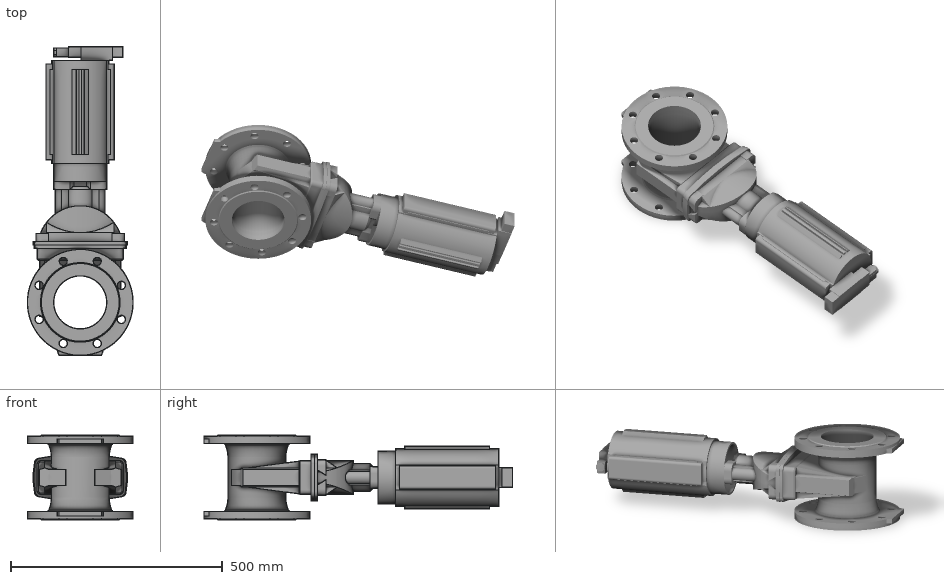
import cadquery as cq
import math


flange_dia = 250.0
flange_rad = flange_dia / 2
overall_length = 729.0
face_to_face = 200.0
face_height = 2.0
face_base_dia = 188.0
face_top_dia = 184.0
flange_thick = 17.5
flange_top = face_to_face / 2 - face_height
flange_bottom = flange_top - flange_thick
bore_dia = 125.0
pipe_dia = 137.0
pipe_rad = pipe_dia / 2
flare_start = 47.5
flare_end = 76.5
flare_rad = 74.5
flare_foot_rad = 77.0
bolt_circle_dia = 210.0
bolt_hole_dia = 19.0
bolt_count = 8

pad_root_half = 55.0
pad_tip_half = 50.0
pad_root_y = -113.0
pad_height = 11.0

joint_y = 127.5
housing_start = 99.0
housing_half_x = 102.0
housing_half_z = 40.0
housing_corner = 10.0
housing_bevel = 3.0
arm_half_x = 96.0
arm_half_z = 19.0
arm_end_y = -33.0
arm_nose = (74.0, -39.5)
arm_tip = (35.0, -60.0)
wedge_half_x = 84.0
ridge_half_z = 22.5
wedge_tip_half_z = 20.5
wedge_front_half_z = 39.0

gate_plate_thick = 8.0
gate_plate_growth = 2.0
bonnet_base_y = joint_y + 2 * gate_plate_thick

bonnet_rad = 101.0
bonnet_crown = 40.0
bonnet_edge_x = 80.0
bonnet_edge_z = 22.5
bonnet_slope_start = 165.0
bonnet_slope_end = 189.5
lug_top = 163.0
lug_outer_x = 105.0
lug_inner_x = 75.0
lug_outer_z = 42.0
lug_foot_z = 17.5
lug_tip_z = 5.0
lug_corner = 14.5

yoke_core_rad = 33.5
column_x = 44.5
column_rad = 14.5
yoke_end = 267.0
yoke_chamfer = 7.0
web_half_z = 18.0
head_half_z = 25.5
head_corner = 16.0
groove_top_half = 24.0
groove_floor_half = 15.0
groove_floor_z = 18.0
stem_rad = 14.5

sleeve_rad = 63.0
sleeve_wall = 5.0
sleeve_start = 286.0
motor_start = 328.0
motor_end = 572.0
motor_dia = 137.0
motor_rad = motor_dia / 2
rail_start = 349.0
rail_end = 550.0
rail_base_half = 20.5
rail_top_half = 10.0
rail_base_z = 65.0
rail_top_z = 74.5
rail_groove = 6.0
rail_groove_offset = 6.0
box_start = 337.0
box_end = 564.0
box_face_x = 81.0
box_half_z = 28.0
box_edge = 6.5
base_half_z = 29.0
base_face_x = 71.5
base_end_x = 66.0

end_y = overall_length - flange_rad
socket_left = 1.5
socket_right = 76.5
bar_left = -28.0
bar_right = 101.0
bar_start = 579.0
socket_half_z = 24.0
bar_half_z = 22.5
gland_box_left = -56.0
gland_left = -63.0
gland_box_size = 20.5
gland_box_top = 7.0
gland_box_bottom = -21.0
gland_dia = 21.0
gland_y = 591.0
gland_z = -4.5
gland_sides = 8


def block(x0, x1, y0, y1, z0, z1):
    """Axis-aligned box between two opposite corners."""
    return cq.Workplane("XY").box(x1 - x0, y1 - y0, z1 - z0, centered=False).translate((x0, y0, z0))


def along_y(y):
    """Sketch plane at height y: local x is X, local y is Z, and negative extrusions run toward +Y."""
    return cq.Workplane(cq.Plane(origin=(0, y, 0), xDir=(1, 0, 0), normal=(0, -1, 0)))


def rod(x, z, rad, y0, y1):
    """Round bar parallel to Y."""
    return along_y(y0).center(x, z).circle(rad).extrude(y0 - y1)


def mirrored(shape, plane):
    return shape.union(shape.mirror(plane))


def pipe_half():
    """Upper half of the flanged pipe: barrel, flare, flange and raised face."""
    mid_z = (flare_start + flare_end) / 2
    mid_rad = pipe_rad + (flare_rad - pipe_rad) / 4
    profile = (
        cq.Workplane("XZ")
        .lineTo(pipe_rad, 0)
        .lineTo(pipe_rad, flare_start)
        .threePointArc((mid_rad, mid_z), (flare_rad, flare_end))
        .lineTo(flare_foot_rad, flange_bottom)
        .lineTo(flange_rad, flange_bottom)
        .lineTo(flange_rad, flange_top)
        .lineTo(face_base_dia / 2, flange_top)
        .lineTo(face_top_dia / 2, face_to_face / 2)
        .lineTo(0, face_to_face / 2)
        .close()
    )
    return profile.revolve(360, (0, 0), (0, 1))


def foot_pad():
    outline = [
        (-pad_root_half, pad_root_y),
        (-pad_tip_half, -flange_rad),
        (pad_tip_half, -flange_rad),
        (pad_root_half, pad_root_y),
    ]
    return cq.Workplane("XY").workplane(offset=flange_bottom).polyline(outline).close().extrude(pad_height)


def bolt_holes():
    return (
        cq.Workplane("XY")
        .polarArray(bolt_circle_dia / 2, 180 / bolt_count, 360, bolt_count)
        .circle(bolt_hole_dia / 2)
        .extrude(face_to_face, both=True)
    )


def plan_prism(half_outline):
    """Prism along Z, symmetric about X = 0, from the +X half of its plan outline."""
    other_half = [(-x, y) for x, y in reversed(half_outline)]
    return cq.Workplane("XY").polyline(half_outline + other_half).close().extrude(housing_half_z, both=True)


def guide_arms():
    """Arms that carry the gate on both sides of the pipe, ridged along their outer part."""
    plan = plan_prism([(arm_half_x, joint_y), (arm_half_x, arm_end_y), arm_nose, arm_tip])
    right_top = [(arm_nose[0], arm_half_z), (wedge_half_x, ridge_half_z), (arm_half_x, arm_half_z)]
    right_bottom = [(x, -z) for x, z in reversed(right_top)]
    right_side = right_top + right_bottom
    left_side = [(-x, -z) for x, z in right_side]
    section = along_y(arm_tip[1]).polyline(right_side + left_side).close().extrude(arm_tip[1] - joint_y)
    return plan.intersect(section)


def guide_wedge():
    """Shoulders above and below the arms that slope down toward the nose."""
    nose_y = arm_nose[1]
    profile = [
        (nose_y, -wedge_tip_half_z),
        (housing_start, -wedge_front_half_z),
        (housing_start, wedge_front_half_z),
        (nose_y, wedge_tip_half_z),
    ]
    wedge = cq.Workplane("YZ").polyline(profile).close().extrude(wedge_half_x, both=True)
    plan = plan_prism([(wedge_half_x, housing_start), (wedge_half_x, arm_end_y), arm_nose])
    return wedge.intersect(plan)


def gate_housing():
    body = block(-housing_half_x, housing_half_x, housing_start, joint_y, -housing_half_z, housing_half_z)
    body = body.edges("|Y").fillet(housing_corner).faces("<Y").chamfer(housing_bevel)
    return body.union(guide_arms()).union(guide_wedge())


def gate_plate(y, growth):
    """Rounded rectangle whose four sides bulge outward."""
    side_x, side_z = 106.5 + growth, 31.0
    top_x, top_z = 92.5 + growth, 46.0
    bulge_x, bulge_z = 109.5 + growth, 55.5
    corner_x, corner_z = 103.0 + growth, 41.5
    outline = (
        along_y(y)
        .moveTo(side_x, -side_z)
        .threePointArc((bulge_x, 0), (side_x, side_z))
        .threePointArc((corner_x, corner_z), (top_x, top_z))
        .threePointArc((0, bulge_z), (-top_x, top_z))
        .threePointArc((-corner_x, corner_z), (-side_x, side_z))
        .threePointArc((-bulge_x, 0), (-side_x, -side_z))
        .threePointArc((-corner_x, -corner_z), (-top_x, -top_z))
        .threePointArc((0, -bulge_z), (top_x, -top_z))
        .threePointArc((corner_x, -corner_z), (side_x, -side_z))
        .close()
    )
    return outline.extrude(-gate_plate_thick)


def bonnet():
    """Half disc with crowned faces, a sloped root and four bolting lugs."""
    disc = cq.Workplane("XY").center(0, joint_y).circle(bonnet_rad).extrude(bonnet_crown, both=True)
    drop = bonnet_crown - bonnet_edge_z
    crown_rad = (bonnet_edge_x ** 2 + drop ** 2) / (2 * drop)
    crown_shift = crown_rad - bonnet_crown
    bonnet_end = joint_y + bonnet_rad
    lens = rod(0, -crown_shift, crown_rad, joint_y, bonnet_end).intersect(
        rod(0, crown_shift, crown_rad, joint_y, bonnet_end))
    slope = [
        (joint_y, -bonnet_crown), (bonnet_slope_start, -bonnet_crown),
        (bonnet_slope_end, -bonnet_edge_z), (bonnet_slope_end, bonnet_edge_z),
        (bonnet_slope_start, bonnet_crown), (joint_y, bonnet_crown),
    ]
    root = cq.Workplane("YZ").polyline(slope).close().extrude(bonnet_edge_x, both=True)
    lug_profile = [(bonnet_base_y, lug_foot_z), (lug_top, lug_tip_z),
                   (lug_top, lug_outer_z), (bonnet_base_y, lug_outer_z)]
    lug = cq.Workplane("YZ", origin=(lug_inner_x, 0, 0)).polyline(lug_profile).close()
    lug = lug.extrude(lug_outer_x - lug_inner_x).edges("|Y and >X and >Z").fillet(lug_corner)
    lugs = mirrored(mirrored(lug, "XY"), "YZ")
    return lens.union(root).intersect(disc).union(lugs)


def yoke():
    """Core with two side columns and a grooved head; the stem runs on to the motor."""
    base_y = joint_y + bonnet_rad / 2
    core = rod(0, 0, yoke_core_rad, base_y, yoke_end + yoke_chamfer).faces(">Y").chamfer(yoke_chamfer)
    web = block(-column_x, column_x, base_y, yoke_end, -web_half_z, web_half_z)
    column = rod(column_x, 0, column_rad, base_y, yoke_end)
    neck = core.union(web).union(mirrored(column, "YZ"))

    head = block(-sleeve_rad, sleeve_rad, yoke_end, sleeve_start, -head_half_z, head_half_z)
    head = head.edges("|Y").fillet(head_corner)
    groove_outline = [(-groove_top_half, head_half_z), (-groove_floor_half, groove_floor_z),
                      (groove_floor_half, groove_floor_z), (groove_top_half, head_half_z)]
    groove = along_y(yoke_end).polyline(groove_outline).close().extrude(yoke_end - sleeve_start)
    stem = rod(0, 0, stem_rad, yoke_end, motor_start)
    return head.cut(mirrored(groove, "XY")).union(neck).union(stem)


def slotted_rail():
    """Tapered rail on top of the motor with two lengthwise grooves."""
    outline = [
        (-rail_base_half, 0), (-rail_base_half, rail_base_z), (-rail_top_half, rail_top_z),
        (rail_top_half, rail_top_z), (rail_base_half, rail_base_z), (rail_base_half, 0),
    ]
    rail = along_y(rail_start).polyline(outline).close().extrude(rail_start - rail_end)
    for side in (-1, 1):
        centre = side * rail_groove_offset
        rail = rail.cut(block(centre - rail_groove / 2, centre + rail_groove / 2, rail_start, rail_end,
                              motor_rad, rail_top_z))
    return rail


def side_box():
    """Control box on the +X side of the motor with its stepped base."""
    box = block(0, box_face_x, box_start, box_end, -box_half_z, box_half_z)
    box = box.edges("|Y and >X").fillet(box_edge)
    base = block(0, base_face_x, rail_start, rail_end, -base_half_z, base_half_z)
    ends = block(0, base_end_x, motor_start, motor_end, -base_half_z, base_half_z)
    return box.union(base).union(ends)


def actuator():
    """Motor with rails and boxes, and a hollow sleeve that is open toward the yoke."""
    sleeve = along_y(sleeve_start).circle(sleeve_rad).circle(sleeve_rad - sleeve_wall)
    sleeve = sleeve.extrude(sleeve_start - motor_start)
    motor = rod(0, 0, motor_rad, motor_start, motor_end)
    motor = motor.union(mirrored(slotted_rail(), "XY")).union(mirrored(side_box(), "YZ"))
    return motor.union(sleeve)


def connection_block():
    """Socket, cross bar and cable gland on the actuator's end face."""
    socket = block(socket_left, socket_right, motor_end, end_y, -socket_half_z, socket_half_z)
    bar = block(bar_left, bar_right, bar_start, end_y, -bar_half_z, bar_half_z)
    gland_box = block(gland_box_left, bar_left, gland_y - gland_box_size / 2, gland_y + gland_box_size / 2,
                      gland_box_bottom, gland_box_top)
    across_corners = gland_dia / math.cos(math.pi / gland_sides)
    gland = (
        cq.Workplane("YZ", origin=(gland_left, gland_y, gland_z))
        .transformed(rotate=(0, 0, 180 / gland_sides))
        .polygon(gland_sides, across_corners)
        .extrude(bar_left - gland_left)
    )
    return socket.union(bar).union(gland_box).union(gland)


flanged_pipe = mirrored(pipe_half().union(foot_pad()), "XY").cut(bolt_holes())
bore = cq.Workplane("XY").circle(bore_dia / 2).extrude(face_to_face, both=True)
valve = flanged_pipe.union(gate_housing()).cut(bore)
valve = valve.union(gate_plate(joint_y, 0)).union(gate_plate(joint_y + gate_plate_thick, gate_plate_growth))
result = valve.union(bonnet()).union(yoke()).union(actuator()).union(connection_block())